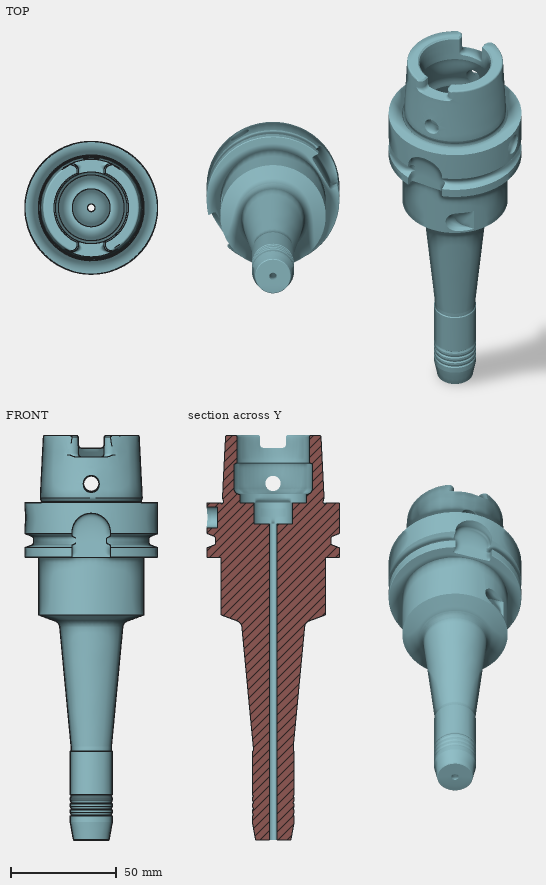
import cadquery as cq
import math


SHANK_HEIGHT = 31.9
GAUGE_RADIUS = 24.0
GAUGE_HEIGHT = 6.3
TAPER_SLOPE = 1 / 20
TAPER_START = 2.3
RELIEF_RADIUS = 23.7
RELIEF_FILLET = 1.0
RELIEF_FLOOR = -0.5
RELIEF_RUNOUT = 0.4
RIM_FILLET = 0.8

FLANGE_RADIUS = 31.5
FLANGE_BOTTOM = -26.0
FLANGE_CHAMFER = 0.3
GROOVE_Z = -18.0
GROOVE_RADIUS = 27.4
GROOVE_EDGE_HALF = 3.35
GROOVE_FLANK_ANGLE = 22.0
GROOVE_FILLET = 1.0

BODY_RADIUS = 25.0
BODY_BOTTOM = -53.2
SHOULDER_ANGLE = 20.0
SHOULDER_FILLET = 3.0

NOSE_TOP_Z = -58.8
NOSE_TOP_RADIUS = 15.0
NECK_TOP_Z = -115.6
NECK_BOTTOM_Z = -117.6
NECK_RADIUS = 9.6
TIP_RADIUS = 10.0
TIP_CHAMFER = 0.35
BARB_ROOT_RADIUS = 9.5
FIRST_BARB_Z = -138.4
FIRST_BARB_RAMP = 1.0
BARB_STEP = 0.5
BARB_LAND = 1.1
BARB_TAPER = 1.3
BARB_COUNT = 3
TIP_CONE_TOP = -151.5
TIP_END_RADIUS = 8.5
HOLDER_BOTTOM = -160.0

BORE_RADIUS = 17.0
BORE_CHAMFER = 0.7
LIP_BOTTOM = 19.0
CHAMBER_RADIUS = 18.5
CHAMBER_RAMP_ANGLE = 60.0
CHAMBER_FLOOR = 4.0
CHAMBER_FILLET = 2.7
RECESS_RADIUS = 15.6
RECESS_FLOOR = 0.0
TUBE_SEAT_RADIUS = 9.0
TUBE_SEAT_DEPTH = 10.0
COOLANT_DIAMETER = 3.5

FRONT_SLOT_DEPTH = 10.2
BACK_SLOT_DEPTH = 6.0
SLOT_HALF_WIDTH = 6.1
SLOT_LOBE_RADIUS = 3.0
SLOT_LOBE_REACH = 23.05
SLOT_FLOOR_FILLET = 1.6
SLOT_EDGE_CHAMFER = 0.7
SLOT_EDGE_ANGLE = 45.0
SLOT_INNER_Y = 8.5

CROSS_HOLE_DIAMETER = 7.2
CROSS_HOLE_CHAMFER = 0.5
CROSS_HOLE_Z = 9.0
SIDE_HOLE_DIAMETER = 9.7
SIDE_HOLE_Z = -7.0
SIDE_HOLE_FLOOR = 26.5
KEYWAY_WIDTH = 18.2
KEYWAY_TOP = -5.0
KEYWAY_FLOOR = 26.4
KEYWAY_FILLET = 1.0

POCKET_WIDTH = 11.0
POCKET_X = -13.15
POCKET_Z = -46.6
POCKET_FLOOR = 16.3

CLEARANCE = 5.0
SELECT_TOLERANCE = 0.01


def taper_radius(z):
    """Radius of the shank cone at height z."""
    return GAUGE_RADIUS - (z - GAUGE_HEIGHT) * TAPER_SLOPE


def barb_points():
    """Profile of the barbed rings near the tip, from top to bottom."""
    z = FIRST_BARB_Z
    points = [(TIP_RADIUS, z), (BARB_ROOT_RADIUS, z - BARB_STEP)]
    z -= BARB_STEP + FIRST_BARB_RAMP
    for _ in range(BARB_COUNT):
        points.append((TIP_RADIUS, z))
        z -= BARB_LAND
        points.append((TIP_RADIUS, z))
        z -= BARB_TAPER
        points.append((BARB_ROOT_RADIUS, z))
        z -= BARB_STEP
    points.append((TIP_RADIUS, z))
    return points


def circles_at(z):
    """Selector for the revolved edges that lie at height z."""
    reach = FLANGE_RADIUS + CLEARANCE
    return cq.selectors.BoxSelector(
        (-reach, -reach, z - SELECT_TOLERANCE),
        (reach, reach, z + SELECT_TOLERANCE),
    )


def outer_body():
    """Revolved outside of the holder, without its bore."""
    flank = (FLANGE_RADIUS - GROOVE_RADIUS) * math.tan(math.radians(GROOVE_FLANK_ANGLE))
    groove_floor_half = GROOVE_EDGE_HALF - flank
    shoulder_drop = (BODY_RADIUS - NOSE_TOP_RADIUS) * math.tan(math.radians(SHOULDER_ANGLE))
    cone_slope = (NOSE_TOP_RADIUS - NECK_RADIUS) / (NOSE_TOP_Z - NECK_TOP_Z)
    corner_z = BODY_BOTTOM - shoulder_drop
    corner_radius = NOSE_TOP_RADIUS + (corner_z - NOSE_TOP_Z) * cone_slope
    relief_outer_radius = RELIEF_RADIUS + RELIEF_FILLET
    profile = (
        cq.Workplane("XZ")
        .moveTo(0, SHANK_HEIGHT)
        .lineTo(taper_radius(SHANK_HEIGHT), SHANK_HEIGHT)
        .lineTo(taper_radius(TAPER_START), TAPER_START)
        .lineTo(RELIEF_RADIUS, RELIEF_FLOOR + RELIEF_FILLET)
        .radiusArc((relief_outer_radius, RELIEF_FLOOR), -RELIEF_FILLET)
        .lineTo(relief_outer_radius + RELIEF_RUNOUT, 0)
        .lineTo(FLANGE_RADIUS, 0)
        .lineTo(FLANGE_RADIUS, GROOVE_Z + GROOVE_EDGE_HALF)
        .lineTo(GROOVE_RADIUS, GROOVE_Z + groove_floor_half)
        .lineTo(GROOVE_RADIUS, GROOVE_Z - groove_floor_half)
        .lineTo(FLANGE_RADIUS, GROOVE_Z - GROOVE_EDGE_HALF)
        .lineTo(FLANGE_RADIUS, FLANGE_BOTTOM + FLANGE_CHAMFER)
        .lineTo(FLANGE_RADIUS - FLANGE_CHAMFER, FLANGE_BOTTOM)
        .lineTo(BODY_RADIUS, FLANGE_BOTTOM)
        .lineTo(BODY_RADIUS, BODY_BOTTOM)
        .lineTo(corner_radius, corner_z)
        .lineTo(NECK_RADIUS, NECK_TOP_Z)
        .lineTo(NECK_RADIUS, NECK_BOTTOM_Z)
        .lineTo(TIP_RADIUS - TIP_CHAMFER, NECK_BOTTOM_Z)
        .lineTo(TIP_RADIUS, NECK_BOTTOM_Z - TIP_CHAMFER)
    )
    for point in barb_points():
        profile = profile.lineTo(*point)
    profile = (
        profile.lineTo(TIP_RADIUS, TIP_CONE_TOP)
        .lineTo(TIP_END_RADIUS, HOLDER_BOTTOM + TIP_CHAMFER)
        .lineTo(TIP_END_RADIUS - TIP_CHAMFER, HOLDER_BOTTOM)
        .lineTo(0, HOLDER_BOTTOM)
        .close()
    )
    body = profile.revolve(360, (0, 0, 0), (0, 1, 0))
    body = body.edges(circles_at(corner_z)).fillet(SHOULDER_FILLET)
    for groove_corner_z in (GROOVE_Z + groove_floor_half, GROOVE_Z - groove_floor_half):
        body = body.edges(circles_at(groove_corner_z)).fillet(GROOVE_FILLET)
    return body.edges(circles_at(SHANK_HEIGHT)).fillet(RIM_FILLET)


def bore():
    """Revolved hollow of the shank, with the coolant hole through the nose."""
    ramp_drop = (CHAMBER_RADIUS - BORE_RADIUS) / math.tan(math.radians(CHAMBER_RAMP_ANGLE))
    seat_floor = RECESS_FLOOR - TUBE_SEAT_DEPTH
    coolant_radius = COOLANT_DIAMETER / 2
    points = [
        (0, SHANK_HEIGHT),
        (BORE_RADIUS + BORE_CHAMFER, SHANK_HEIGHT),
        (BORE_RADIUS, SHANK_HEIGHT - BORE_CHAMFER),
        (BORE_RADIUS, LIP_BOTTOM),
        (CHAMBER_RADIUS, LIP_BOTTOM - ramp_drop),
        (CHAMBER_RADIUS, CHAMBER_FLOOR),
        (RECESS_RADIUS, CHAMBER_FLOOR),
        (RECESS_RADIUS, RECESS_FLOOR),
        (TUBE_SEAT_RADIUS, RECESS_FLOOR),
        (TUBE_SEAT_RADIUS, seat_floor),
        (coolant_radius, seat_floor),
        (coolant_radius, HOLDER_BOTTOM),
        (0, HOLDER_BOTTOM),
    ]
    hollow = cq.Workplane("XZ").polyline(points).close().revolve(360, (0, 0, 0), (0, 1, 0))
    chamber_corner = cq.selectors.RadiusNthSelector(-1)
    return hollow.edges(circles_at(CHAMBER_FLOOR)).edges(chamber_corner).fillet(CHAMBER_FILLET)


def turned_to_front(cutter):
    """The same cutter on the -Y side."""
    return cutter.rotate((0, 0, 0), (0, 0, 1), 180)


def slot_outline(z):
    """Outline at height z of a drive slot on the +Y side; each wall rounds over a lobe."""
    lobe_x = SLOT_HALF_WIDTH + SLOT_LOBE_RADIUS
    lobe_distance = SLOT_LOBE_REACH - SLOT_LOBE_RADIUS
    lobe_y = math.sqrt(lobe_distance**2 - lobe_x**2)
    lobe_angle = math.atan2(lobe_y, lobe_x)
    middle_angle = (math.pi + lobe_angle) / 2

    def on_lobe(angle):
        return (
            lobe_x + SLOT_LOBE_RADIUS * math.cos(angle),
            lobe_y + SLOT_LOBE_RADIUS * math.sin(angle),
        )

    def mirrored(point):
        return (-point[0], point[1])

    middle = on_lobe(middle_angle)
    end = on_lobe(lobe_angle)
    flat_end = (
        end[0] + CLEARANCE * math.sin(lobe_angle),
        end[1] - CLEARANCE * math.cos(lobe_angle),
    )
    outer_y = SLOT_LOBE_REACH + CLEARANCE
    return (
        cq.Workplane("XY", origin=(0, 0, z))
        .moveTo(-SLOT_HALF_WIDTH, SLOT_INNER_Y)
        .lineTo(SLOT_HALF_WIDTH, SLOT_INNER_Y)
        .lineTo(SLOT_HALF_WIDTH, lobe_y)
        .threePointArc(middle, end)
        .lineTo(*flat_end)
        .lineTo(flat_end[0], outer_y)
        .lineTo(-flat_end[0], outer_y)
        .lineTo(*mirrored(flat_end))
        .lineTo(*mirrored(end))
        .threePointArc(mirrored(middle), (-SLOT_HALF_WIDTH, lobe_y))
        .close()
    )


def drive_slot(depth):
    """Cutter for a drive slot on the +Y side, with a filleted floor and a chamfered rim edge."""
    floor_z = SHANK_HEIGHT - depth
    cutter = slot_outline(floor_z).extrude(depth + CLEARANCE)
    wall_box = cq.selectors.BoxSelector(
        (-FLANGE_RADIUS, SLOT_INNER_Y + SELECT_TOLERANCE, floor_z - SELECT_TOLERANCE),
        (FLANGE_RADIUS, SLOT_LOBE_REACH, floor_z + SELECT_TOLERANCE),
    )
    cutter = cutter.faces("<Z").edges(wall_box).fillet(SLOT_FLOOR_FILLET)
    flare_z = SHANK_HEIGHT - SLOT_EDGE_CHAMFER
    flare = slot_outline(flare_z).extrude(2 * SLOT_EDGE_CHAMFER, taper=-SLOT_EDGE_ANGLE)
    return cutter.union(flare)


def cross_hole():
    """Hole through both walls of the shank along Y, countersunk at each mouth."""
    mouth_y = taper_radius(CROSS_HOLE_Z)
    hole_radius = CROSS_HOLE_DIAMETER / 2
    points = [
        (0, 0),
        (hole_radius, 0),
        (hole_radius, mouth_y - CROSS_HOLE_CHAMFER),
        (hole_radius + CROSS_HOLE_CHAMFER, mouth_y),
        (hole_radius + CROSS_HOLE_CHAMFER, mouth_y + CLEARANCE),
        (0, mouth_y + CLEARANCE),
    ]
    half = cq.Workplane("XY").polyline(points).close().revolve(360, (0, 0, 0), (0, 1, 0))
    return half.union(turned_to_front(half)).translate((0, 0, CROSS_HOLE_Z))


def side_hole():
    """Blind flat-bottomed hole in the -X side of the flange."""
    return (
        cq.Workplane("YZ", origin=(-SIDE_HOLE_FLOOR, 0, SIDE_HOLE_Z))
        .circle(SIDE_HOLE_DIAMETER / 2)
        .extrude(SIDE_HOLE_FLOOR - FLANGE_RADIUS - CLEARANCE)
    )


def keyway():
    """Round-topped keyway across the flange on the +Y side."""
    half_width = KEYWAY_WIDTH / 2
    straight_top = KEYWAY_TOP - half_width
    bottom_z = FLANGE_BOTTOM - KEYWAY_FILLET
    length = FLANGE_RADIUS + CLEARANCE - KEYWAY_FLOOR
    cutter = (
        cq.Workplane("XZ", origin=(0, KEYWAY_FLOOR, 0))
        .moveTo(-half_width, bottom_z)
        .lineTo(half_width, bottom_z)
        .lineTo(half_width, straight_top)
        .threePointArc((0, KEYWAY_TOP), (-half_width, straight_top))
        .close()
        .extrude(-length)
    )
    return cutter.faces("<Y").edges().fillet(KEYWAY_FILLET)


def screw_pocket():
    """Round-ended pocket sunk from +Y into the body and open towards -X."""
    half_width = POCKET_WIDTH / 2
    outer_x = -BODY_RADIUS - CLEARANCE
    return (
        cq.Workplane("XZ", origin=(0, POCKET_FLOOR, POCKET_Z))
        .moveTo(outer_x, -half_width)
        .lineTo(POCKET_X, -half_width)
        .threePointArc((POCKET_X + half_width, 0), (POCKET_X, half_width))
        .lineTo(outer_x, half_width)
        .close()
        .extrude(POCKET_FLOOR - BODY_RADIUS - CLEARANCE)
    )


result = (
    outer_body()
    .cut(bore())
    .cut(drive_slot(BACK_SLOT_DEPTH))
    .cut(turned_to_front(drive_slot(FRONT_SLOT_DEPTH)))
    .cut(cross_hole())
    .cut(side_hole())
    .cut(keyway())
    .cut(turned_to_front(keyway()))
    .cut(screw_pocket())
)